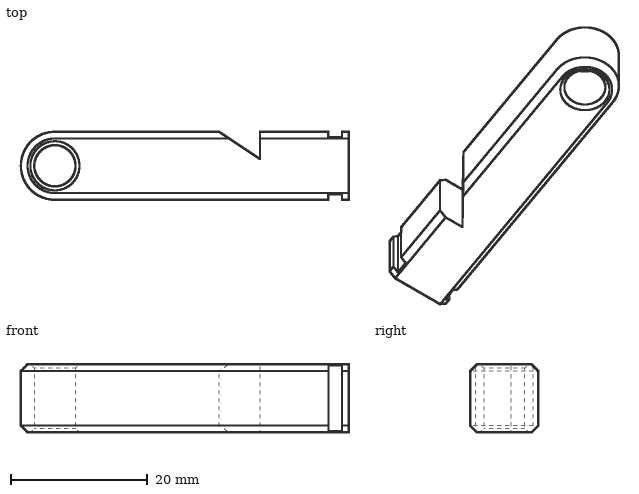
import cadquery as cq

length = 48.0
width = 10.0
height = 10.0
edge_chamfer = 1.0

end_radius = width / 2
flat_end_x = length - end_radius
half_width = width / 2
half_height = height / 2

eyelet_diameter = 6.0
eyelet_chamfer = 0.6

notch_wall_to_end = 13.0
notch_length = 6.0
notch_depth = 4.0

groove_width = 2.0
groove_depth = 0.8
groove_to_end = 1.0


def make_bar():
    """Bar rounded at -X, chamfered on every top and bottom edge except at the flat end."""
    bar = (
        cq.Workplane("XY")
        .workplane(offset=-half_height)
        .moveTo(flat_end_x, -half_width)
        .lineTo(0, -half_width)
        .threePointArc((-end_radius, 0), (0, half_width))
        .lineTo(flat_end_x, half_width)
        .close()
        .extrude(height)
    )
    return bar.faces("<Z or >Z").edges("not >X").chamfer(edge_chamfer)


def cut_eyelet(body):
    """Through hole along Z, countersunk at both mouths."""
    radius = eyelet_diameter / 2
    mouth_radius = radius + eyelet_chamfer
    profile = [
        (0, -half_height),
        (mouth_radius, -half_height),
        (radius, -half_height + eyelet_chamfer),
        (radius, half_height - eyelet_chamfer),
        (mouth_radius, half_height),
        (0, half_height),
    ]
    eyelet = cq.Workplane("XZ").polyline(profile).close().revolve(360, (0, 0), (0, 1))
    return body.cut(eyelet)


def cut_notch(body):
    """Wedge cut through the full height of the bar."""
    wall_x = flat_end_x - notch_wall_to_end
    notch = (
        cq.Workplane("XY")
        .moveTo(wall_x - notch_length, half_width)
        .lineTo(wall_x, half_width - notch_depth)
        .lineTo(wall_x, half_width)
        .close()
        .extrude(half_height, both=True)
    )
    return body.cut(notch)


def cut_side_grooves(body):
    """Matching grooves in the -Y and +Y sides, running the full height."""
    groove_x = flat_end_x - groove_to_end - groove_width / 2
    for side in (-1, 1):
        groove_y = side * (half_width - groove_depth / 2)
        groove = cq.Workplane("XY").box(groove_width, groove_depth, height)
        body = body.cut(groove.translate((groove_x, groove_y, 0)))
    return body


bar = make_bar()
bar = cut_eyelet(bar)
bar = cut_notch(bar)
result = cut_side_grooves(bar)